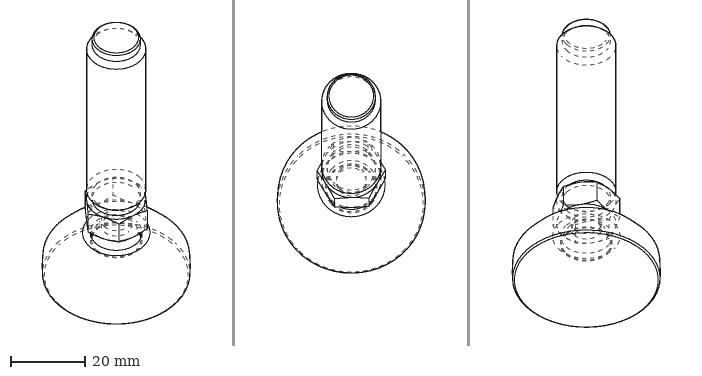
import cadquery as cq
import math

total_height = 88.2
full_turn = 360.0

foot_radius = 40.0 / 2
widest_height = 2.65
base_radius = 19.9
base_chamfer = 0.5
rim_radius = 19.83
rim_fillet = 2.0
dome_radius = 18.0
dome_center_radius = 4.3
dome_top_radius = 9.1
dome_top_height = 15.7

ball_radius = 13.28 / 2
neck_radius = 8.06 / 2
neck_start_height = 18.2
socket_radius = 14.0 / 2

hex_sides = 6
quarter_turn = 90.0
hex_across_flats = 16.0
hex_bottom_height = 20.2
hex_height = 8.0
hex_chamfer_angle = 30.0

rod_radius = 16.0 / 2
relief_radius = 13.0 / 2
relief_height = 1.9
tip_height = 2.7
tip_chamfer = 0.5

ball_center_height = neck_start_height - math.sqrt(ball_radius**2 - neck_radius**2)
dome_center_height = dome_top_height - math.sqrt(dome_radius**2 - (dome_top_radius - dome_center_radius) ** 2)
hex_top_height = hex_bottom_height + hex_height
rod_step = rod_radius - relief_radius
rod_cone_start = hex_top_height + relief_height
tip_start = total_height - tip_height


def dome_point(radius):
    """Point of the dome profile at the given distance from the axis."""
    return (radius, dome_center_height + math.sqrt(dome_radius**2 - (radius - dome_center_radius) ** 2))


def revolved(profile):
    """Full turn of a closed profile (radius, height) about the Z axis."""
    return profile.close().revolve(full_turn, (0, 0, 0), (0, 1, 0))


def make_foot():
    """Domed foot with a drafted rim and an open socket for the ball."""
    rim = dome_point(rim_radius)
    dome_middle = dome_point((rim_radius + dome_top_radius) / 2)
    profile = (
        cq.Workplane("XZ")
        .moveTo(0, 0)
        .lineTo(base_radius - base_chamfer, 0)
        .lineTo(base_radius, base_chamfer)
        .lineTo(foot_radius, widest_height)
        .lineTo(*rim)
        .threePointArc(dome_middle, dome_point(dome_top_radius))
        .lineTo(0, dome_top_height)
    )
    rim_edge = cq.selectors.NearestToPointSelector((0, 0, rim[1]))
    foot = revolved(profile).edges(rim_edge).fillet(rim_fillet)
    socket = (
        cq.Workplane("XY")
        .workplane(offset=ball_center_height)
        .circle(socket_radius)
        .extrude(dome_top_height - ball_center_height)
    )
    return foot.cut(socket)


def make_ball_and_neck():
    """Ball resting in the socket and the neck that carries the hexagon."""
    ball = cq.Workplane("XY").sphere(ball_radius).translate((0, 0, ball_center_height))
    neck = (
        cq.Workplane("XY")
        .workplane(offset=ball_center_height)
        .circle(neck_radius)
        .extrude(hex_bottom_height - ball_center_height)
    )
    return ball.union(neck)


def make_hexagon():
    """Hexagon with flats facing +X and -X, its corners turned down at both ends."""
    flat_radius = hex_across_flats / 2
    corner_radius = flat_radius / math.cos(math.radians(180 / hex_sides))
    drop = (corner_radius - flat_radius) * math.tan(math.radians(hex_chamfer_angle))
    prism = (
        cq.Workplane("XY")
        .workplane(offset=hex_bottom_height)
        .polygon(hex_sides, 2 * corner_radius)
        .extrude(hex_height)
        .rotate((0, 0, 0), (0, 0, 1), quarter_turn)
    )
    turned = revolved(
        cq.Workplane("XZ")
        .moveTo(0, hex_bottom_height)
        .lineTo(flat_radius, hex_bottom_height)
        .lineTo(corner_radius, hex_bottom_height + drop)
        .lineTo(corner_radius, hex_top_height - drop)
        .lineTo(flat_radius, hex_top_height)
        .lineTo(0, hex_top_height)
    )
    return prism.intersect(turned)


def make_rod():
    """Thread envelope with a relief below it and a plain tip above it."""
    return revolved(
        cq.Workplane("XZ")
        .moveTo(0, hex_top_height)
        .lineTo(relief_radius, hex_top_height)
        .lineTo(relief_radius, rod_cone_start)
        .lineTo(rod_radius, rod_cone_start + rod_step)
        .lineTo(rod_radius, tip_start - rod_step)
        .lineTo(relief_radius, tip_start)
        .lineTo(relief_radius, total_height - tip_chamfer)
        .lineTo(relief_radius - tip_chamfer, total_height)
        .lineTo(0, total_height)
    )


result = make_foot().union(make_ball_and_neck()).union(make_hexagon()).union(make_rod())